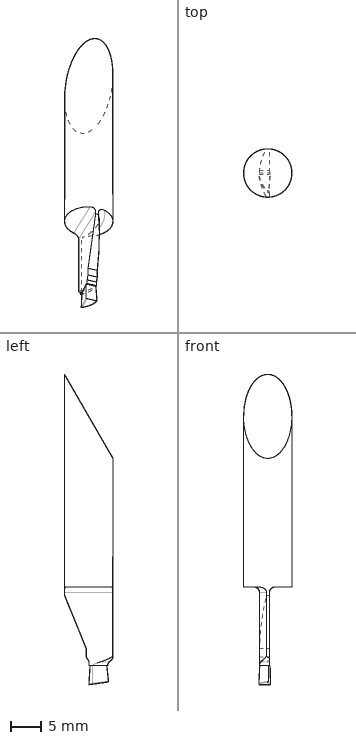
import cadquery as cq
import math


shank_diameter = 8.0
shank_radius = shank_diameter / 2
overall_length = 51.18
tip_reach = 16.1
bevel_angle = 30.0
shank_top = overall_length - tip_reach
bevel_drop = shank_diameter / math.tan(math.radians(bevel_angle))

neck_left = -1.37
neck_right = 0.29
neck_front_left = -0.19
neck_end = -12.95
root_fillet = 0.9

relief_start = -1.35
relief_end = -10.1
relief_back = 0.44
rake_start = -11.5
rake_end = -12.2

flare_angle = 40.0
flare_height = 4.0
flare_blend = 1.0

land_width = 0.6
land_front = -land_width
tip_left_top = -1.35
tip_left_bottom = -1.48
tip_right_top = 0.40
tip_right_bottom = 0.48
tip_back_top = -0.2
tip_back_bottom = 0.0
tip_point_x = 0.1
tip_front_top = -3.0
tip_front_bottom = -3.33
land_angle = 10.0
corner_radius = 0.15
end_clearance = 8.0


def make_shank():
    outline = [
        (-shank_radius, 0),
        (shank_radius, 0),
        (shank_radius, shank_top),
        (-shank_radius, shank_top - bevel_drop),
    ]
    cylinder = cq.Workplane("XY").circle(shank_radius).extrude(shank_top)
    side_profile = cq.Workplane("YZ").polyline(outline).close().extrude(shank_radius, both=True)
    return cylinder.intersect(side_profile)


def neck_section():
    """Blade section: bowed on -X, flat on +X, running past the shank's surface in Y."""
    return (
        cq.Workplane("XY")
        .moveTo(neck_right, -shank_radius)
        .lineTo(neck_right, shank_radius)
        .lineTo(neck_front_left, shank_radius)
        .threePointArc((neck_left, 0), (neck_front_left, -shank_radius))
        .close()
    )


def make_blade():
    """Neck blade with its root fillets, trimmed to the shank's cylinder."""
    blade = neck_section().extrude(neck_end)
    root = cq.Workplane("XY").rect(2 * shank_diameter, shank_diameter).extrude(root_fillet)
    blade = root.union(blade)
    blade = blade.edges(cq.selectors.BoxSelector(
        (neck_left - root_fillet, -shank_radius / 2, -root_fillet / 2),
        (neck_right + root_fillet, shank_radius / 2, root_fillet / 2),
    )).fillet(root_fillet)
    envelope = cq.Workplane("XY").workplane(offset=neck_end).circle(shank_radius)
    return blade.intersect(envelope.extrude(root_fillet - neck_end))


def back_relief():
    outline = [
        (shank_radius, relief_start),
        (relief_back, relief_end),
        (relief_back, rake_start),
        (0, rake_end),
        (0, neck_end),
        (shank_radius, neck_end),
    ]
    return cq.Workplane("YZ").polyline(outline).close().extrude(shank_radius, both=True)


def flank_circle():
    """Centre and radius of the flank arc on the tip's top section, from its ends and start angle."""
    run = tip_point_x - tip_left_top
    fall = land_front - tip_front_top
    chord = math.hypot(run, fall)
    turn = 2 * (math.atan2(run, fall) - math.radians(land_angle))
    radius = chord / (2 * math.sin(turn / 2))
    centre_x = tip_left_top + radius * math.cos(math.radians(land_angle))
    centre_y = land_front + radius * math.sin(math.radians(land_angle))
    return centre_x, centre_y, radius


def neck_trim():
    """Space left for the neck: a cone flaring upward from the tip's flank, blended into it by an arc."""
    centre_x, centre_y, radius = flank_circle()
    flare = math.radians(flare_angle)
    half_flare = flare / 2
    blend_middle = (
        radius + flare_blend * (1 - math.cos(half_flare)),
        neck_end + flare_blend * math.sin(half_flare),
    )
    blend_end = (
        radius + flare_blend * (1 - math.cos(flare)),
        neck_end + flare_blend * math.sin(flare),
    )
    cone_top = (
        blend_end[0] + flare_height * math.tan(flare),
        blend_end[1] + flare_height,
    )
    return (
        cq.Workplane("XZ", origin=(centre_x, centre_y, 0))
        .moveTo(0, neck_end)
        .lineTo(radius, neck_end)
        .threePointArc(blend_middle, blend_end)
        .lineTo(*cone_top)
        .lineTo(cone_top[0], root_fillet)
        .lineTo(0, root_fillet)
        .close()
        .revolve(360, (0, 0, 0), (0, 1, 0))
    )


def tip_section(z, left, right, back, front):
    run = tip_point_x - left
    fall = land_front - front
    chord = math.hypot(run, fall)
    bow = chord / 2 * math.tan((math.atan2(run, fall) - math.radians(land_angle)) / 2)
    bow_point = (
        (left + tip_point_x) / 2 - bow * fall / chord,
        (land_front + front) / 2 - bow * run / chord,
    )
    return (
        cq.Workplane("XY").workplane(offset=z)
        .moveTo(right, back)
        .lineTo(left, back)
        .lineTo(left, land_front)
        .threePointArc(bow_point, (tip_point_x, front))
        .close()
        .wires().val()
    )


def make_tip():
    top = tip_section(neck_end, tip_left_top, tip_right_top, tip_back_top, tip_front_top)
    bottom = tip_section(-tip_reach, tip_left_bottom, tip_right_bottom, tip_back_bottom, tip_front_bottom)
    tip = cq.Workplane(cq.Solid.makeLoft([top, bottom], True))
    rise = shank_diameter * math.tan(math.radians(end_clearance))
    wedge = (
        cq.Workplane("YZ")
        .polyline([(0, -tip_reach), (-shank_diameter, -tip_reach), (-shank_diameter, rise - tip_reach)])
        .close()
        .extrude(shank_radius, both=True)
    )
    tip = tip.cut(wedge)
    corner_edges = tip.faces("<Z").edges("not |X")
    return corner_edges.fillet(corner_radius)


neck = make_blade().cut(back_relief()).intersect(neck_trim())
holder = make_shank().union(neck)
tip = make_tip()

result = cq.Compound.makeCompound([holder.val(), tip.val()])